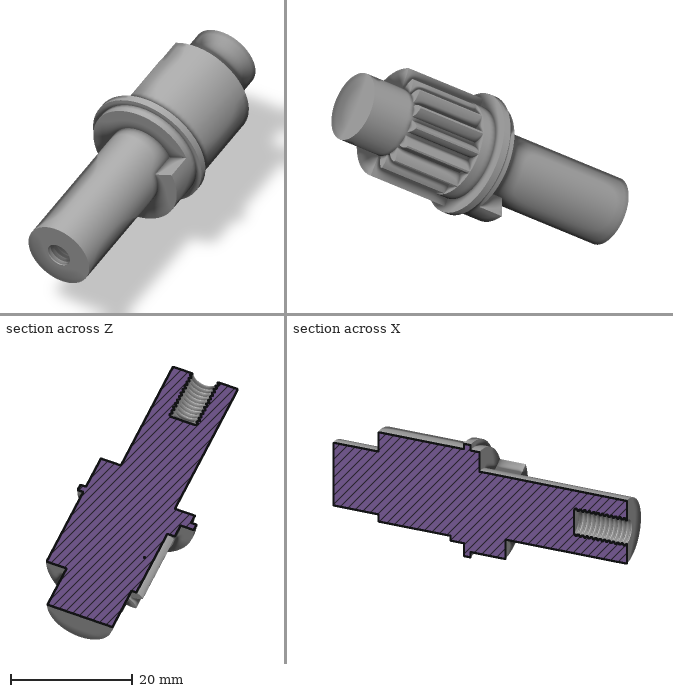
import cadquery as cq
import math

total_length = 52.8
rear_end = total_length / 2
front_end = -total_length / 2
shaft_radius = 5.85
full_turn = 360.0

flange_radius = 10.45
flange_front = 1.7
flange_rear = 2.95
disc_radius = 9.45
disc_front = 0.1

key_radius = disc_radius
key_front = -4.55
key_start_angle = -90.0
key_end_angle = 26.0

tooth_count = 14
tooth_pitch_angle = full_turn / tooth_count
first_tooth_angle = 136.0
cut_tooth_count = 7
gear_rear = 18.4
teeth_front = 5.4
backing_radius = 8.1
tip_radius = 7.95
flank_radius = 6.9
root_radius = shaft_radius
tip_half_width = 0.15
flank_half_width = 0.8
root_half_width = 1.0

sector_radius = disc_radius
sector_clearance_angle = 3.6
first_gap_angle = first_tooth_angle - tooth_pitch_angle / 2
last_gap_angle = first_gap_angle + cut_tooth_count * tooth_pitch_angle
sector_start_angle = last_gap_angle + sector_clearance_angle - full_turn
sector_end_angle = first_gap_angle - sector_clearance_angle

thread_minor_radius = 4.3 / 2
thread_major_radius = 5.0 / 2
thread_pitch = 0.8
thread_turns = 12
thread_crest = 0.15
thread_root_flat = 0.1


def cylinder(radius, front, rear):
    """Cylinder on the Y axis between two Y positions."""
    return cq.Workplane("XZ", origin=(0, rear, 0)).circle(radius).extrude(rear - front)


def polar(radius, angle):
    """X and Z of a point at a radius and an angle in degrees."""
    return radius * math.cos(math.radians(angle)), radius * math.sin(math.radians(angle))


def sector(radius, start_angle, end_angle, front, rear):
    """Pie slice of a cylinder on the Y axis."""
    return (
        cq.Workplane("XZ", origin=(0, rear, 0))
        .lineTo(*polar(radius, start_angle))
        .threePointArc(polar(radius, (start_angle + end_angle) / 2), polar(radius, end_angle))
        .close()
        .extrude(rear - front)
    )


def make_tooth(angle):
    """One tooth with convex flanks, reaching in to the shaft axis."""
    root_reach = math.sqrt(root_radius**2 - root_half_width**2)
    tip_reach = math.sqrt(tip_radius**2 - tip_half_width**2)
    tooth = (
        cq.Workplane("XZ", origin=(0, gear_rear, 0))
        .moveTo(0, -root_half_width)
        .lineTo(root_reach, -root_half_width)
        .threePointArc((flank_radius, -flank_half_width), (tip_reach, -tip_half_width))
        .threePointArc((tip_radius, 0), (tip_reach, tip_half_width))
        .threePointArc((flank_radius, flank_half_width), (root_reach, root_half_width))
        .lineTo(0, root_half_width)
        .close()
        .extrude(gear_rear - flange_rear)
    )
    return tooth.rotate((0, 0, 0), (0, 1, 0), -angle)


def make_tapped_hole():
    """Hole at the minor diameter with a flat-bottomed V groove for every thread pitch."""
    profile = cq.Workplane("XY").moveTo(0, front_end).lineTo(thread_minor_radius, front_end)
    for turn in range(thread_turns):
        groove_start = front_end + turn * thread_pitch + thread_crest
        groove_end = front_end + (turn + 1) * thread_pitch
        groove_middle = (groove_start + groove_end) / 2
        profile = (
            profile.lineTo(thread_minor_radius, groove_start)
            .lineTo(thread_major_radius, groove_middle - thread_root_flat / 2)
            .lineTo(thread_major_radius, groove_middle + thread_root_flat / 2)
            .lineTo(thread_minor_radius, groove_end)
        )
    hole_end = front_end + thread_turns * thread_pitch
    return profile.lineTo(0, hole_end).close().revolve(full_turn, (0, 0, 0), (0, 1, 0))


result = cylinder(shaft_radius, front_end, rear_end)
result = result.union(cylinder(flange_radius, flange_front, flange_rear))
result = result.union(cylinder(disc_radius, disc_front, flange_front))
result = result.union(sector(key_radius, key_start_angle, key_end_angle, key_front, flange_front))

result = result.union(cylinder(backing_radius, flange_rear, teeth_front))
result = result.union(sector(sector_radius, sector_start_angle, sector_end_angle, flange_rear, gear_rear))
for tooth_index in range(cut_tooth_count):
    result = result.union(make_tooth(first_tooth_angle + tooth_index * tooth_pitch_angle))

result = result.cut(make_tapped_hole())